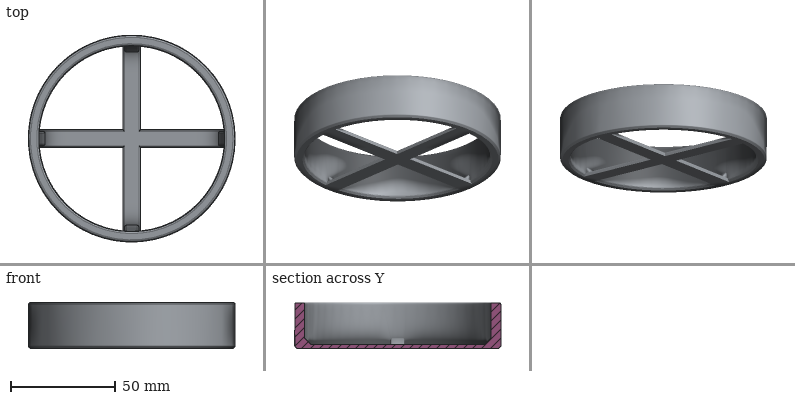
import cadquery as cq

OUTER_DIAMETER = 99.0
INNER_DIAMETER = 89.0
HEIGHT = 22.0
EDGE_ROUND = 1.0
BOTTOM_CHAMFER = 1.0
CHAMFER_EDGE_ROUND = 0.5

ARM_WIDTH = 8.5
ARM_THICKNESS = 2.0
ARM_ROUND = 0.75

WEDGE_LENGTH = 3.0
WEDGE_RISE = 3.0
WEDGE_ROUND = 1.0
WEDGE_WIDTH = ARM_WIDTH - 2 * ARM_ROUND

INNER_RADIUS = INNER_DIAMETER / 2
WALL_MIDDLE_RADIUS = (OUTER_DIAMETER + INNER_DIAMETER) / 4


def make_ring():
    """Round wall with rounded top edges and chamfered bottom edges that blend into the wall."""
    ring = cq.Workplane("XY").circle(OUTER_DIAMETER / 2).circle(INNER_RADIUS).extrude(HEIGHT)
    ring = ring.faces(">Z").edges().fillet(EDGE_ROUND)
    ring = ring.faces("<Z").edges().chamfer(BOTTOM_CHAMFER)
    wall_edges = cq.selectors.BoxSelector(
        (-OUTER_DIAMETER, -OUTER_DIAMETER, BOTTOM_CHAMFER / 2),
        (OUTER_DIAMETER, OUTER_DIAMETER, 2 * BOTTOM_CHAMFER),
    )
    return ring.edges("%CIRCLE").edges(wall_edges).fillet(CHAMFER_EDGE_ROUND)


def make_cross():
    """Two crossed arms with rounded upper edges."""
    span = 2 * WALL_MIDDLE_RADIUS
    centered = (True, True, False)
    along_x = cq.Workplane("XY").box(span, ARM_WIDTH, ARM_THICKNESS, centered=centered)
    along_y = cq.Workplane("XY").box(ARM_WIDTH, span, ARM_THICKNESS, centered=centered)
    return along_x.union(along_y).faces(">Z").edges().fillet(ARM_ROUND)


def make_wedge():
    """Wedge at the +X arm end, rising outward, with rounded sloping edges."""
    slope = WEDGE_RISE / WEDGE_LENGTH
    toe_radius = INNER_RADIUS - WEDGE_LENGTH
    heel_height = ARM_THICKNESS + slope * (WALL_MIDDLE_RADIUS - toe_radius)
    wedge = (
        cq.Workplane("XZ")
        .moveTo(toe_radius, ARM_THICKNESS)
        .lineTo(WALL_MIDDLE_RADIUS, heel_height)
        .lineTo(WALL_MIDDLE_RADIUS, ARM_THICKNESS)
        .close()
        .extrude(WEDGE_WIDTH / 2, both=True)
    )
    sloping_edges = cq.selectors.BoxSelector(
        (toe_radius, -WEDGE_WIDTH, ARM_THICKNESS + WEDGE_RISE / 2),
        (WALL_MIDDLE_RADIUS - WEDGE_ROUND, WEDGE_WIDTH, heel_height),
    )
    return wedge.edges(sloping_edges).fillet(WEDGE_ROUND)


result = make_ring().union(make_cross())
for quarter_turn in range(4):
    wedge = make_wedge().rotate((0, 0, 0), (0, 0, 1), 90 * quarter_turn)
    result = result.union(wedge)